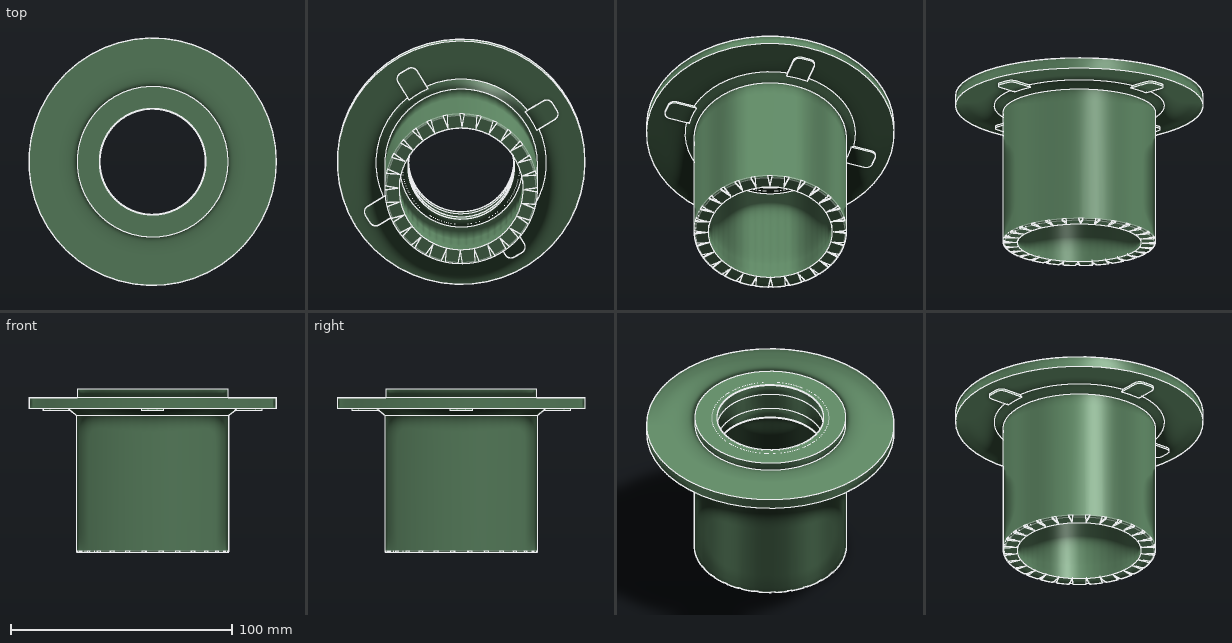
import cadquery as cq

total_height = 74.0
collar_height = 4.0
plate_thickness = 4.9
plate_top_z = total_height - collar_height
plate_bottom_z = plate_top_z - plate_thickness
tube_length = 62.0
cone_end_z = tube_length

tube_diameter = 69.0
tube_bore = 56.0
tube_edge_radius = 0.7
notch_count = 28
notch_width = 2.0
notch_length = 6.0
notch_height = tube_edge_radius

collar_diameter = 68.2
plate_diameter = 112.0
cone_top_diameter = 77.0
spigot_diameter = 55.5
spigot_end_z = 55.0
head_bore = 48.3

pad_count = 4
pad_outer_radius = 49.5
pad_inner_radius = 31.0
pad_width = 10.0
pad_corner_radius = 3.0
pad_height = 0.9

seal_height = 5.0
seal_bulge = 0.4
seal_outer_diameter = 53.0
seal_end_margin = 0.5
seal_start_heights = [
    spigot_end_z + seal_end_margin,
    total_height - seal_end_margin - seal_height,
]


def revolve_about_z(profile):
    """Revolve a closed (radius, height) profile one full turn about Z."""
    return profile.revolve(360, (0, 0, 0), (0, 1, 0))


def make_tube():
    """Plain tube with a rounded bottom rim, cut by a ring of wedge notches."""
    tube = (
        cq.Workplane("XY")
        .circle(tube_diameter / 2)
        .circle(tube_bore / 2)
        .extrude(tube_length)
    )
    outer_bottom_edge = cq.selectors.RadiusNthSelector(-1)
    tube = tube.faces("<Z").edges(outer_bottom_edge).fillet(tube_edge_radius)
    return tube.cut(make_notches())


def make_notches():
    """Radial wedges, wide at the tube's outside and closing to a point inside its wall."""
    outer_radius = tube_diameter / 2
    apex_radius = outer_radius - notch_length
    wedge = (
        cq.Workplane("XY")
        .polyline([
            (apex_radius, 0),
            (apex_radius + 2 * notch_length, -notch_width),
            (apex_radius + 2 * notch_length, notch_width),
        ])
        .close()
        .extrude(notch_height)
    )
    pitch = 360 / notch_count
    notches = cq.Workplane("XY")
    for index in range(notch_count):
        notches.add(wedge.rotate((0, 0, 0), (0, 0, 1), (index + 0.5) * pitch).val())
    return notches.combine()


def make_head():
    """Collar, plate, cone and spigot in one turned piece, with pads under the plate."""
    head = revolve_about_z(
        cq.Workplane("XZ")
        .polyline([
            (head_bore / 2, spigot_end_z),
            (spigot_diameter / 2, spigot_end_z),
            (spigot_diameter / 2, cone_end_z),
            (tube_diameter / 2, cone_end_z),
            (cone_top_diameter / 2, plate_bottom_z),
            (plate_diameter / 2, plate_bottom_z),
            (plate_diameter / 2, plate_top_z),
            (collar_diameter / 2, plate_top_z),
            (collar_diameter / 2, total_height),
            (head_bore / 2, total_height),
        ])
        .close()
    )
    return head.union(make_pads())


def make_pads():
    """Shallow rounded pads, evenly spaced, running inward into the cone."""
    pad_length = pad_outer_radius - pad_inner_radius
    pad_middle_radius = (pad_outer_radius + pad_inner_radius) / 2
    return (
        cq.Workplane("XY")
        .workplane(offset=plate_bottom_z - pad_height)
        .polarArray(pad_middle_radius, 0, 360, pad_count)
        .rect(pad_length, pad_width)
        .extrude(pad_height)
        .edges("|Z")
        .fillet(pad_corner_radius)
    )


def make_seal(start_z):
    """Ring whose inner face bulges slightly into the head's bore."""
    end_z = start_z + seal_height
    bore_radius = head_bore / 2
    return revolve_about_z(
        cq.Workplane("XZ")
        .moveTo(bore_radius, start_z)
        .threePointArc((bore_radius - seal_bulge, (start_z + end_z) / 2), (bore_radius, end_z))
        .lineTo(seal_outer_diameter / 2, end_z)
        .lineTo(seal_outer_diameter / 2, start_z)
        .close()
    )


tube = make_tube()
head = make_head()
seals = []
for start_height in seal_start_heights:
    seal = make_seal(start_height)
    head = head.cut(seal)
    seals.append(seal.val())

result = cq.Compound.makeCompound([tube.val(), head.val(), *seals])